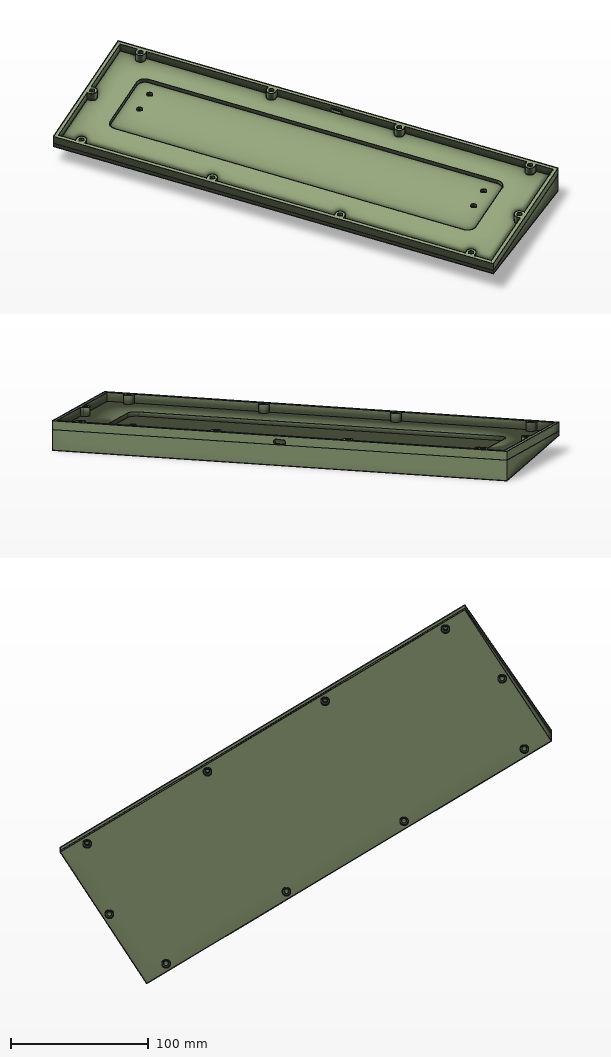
import cadquery as cq
import math

LENGTH = 349.6
WIDTH = 116.26
HEIGHT = 21.83
SLOPE_DEG = 6.0

FRAME_HEIGHT = 6.5
WALL = 2.8
BASE_HEIGHT = HEIGHT - FRAME_HEIGHT

BOSS_DIAMETER = 7.4
SCREW_HOLE_DIAMETER = 3.6
SCREW_HEAD_DIAMETER = 6.2
SCREW_HEAD_DEPTH = 1.5
SCREW_INSET = 5.1
OUTER_SCREW_X = 154.8
INNER_SCREW_X = 50.8

SLOT_LENGTH = 9.0
SLOT_HEIGHT = 3.6
SLOT_ABOVE_BASE = 2.1

POCKET_LENGTH = 290.3
POCKET_WIDTH = 60.0
POCKET_DEPTH = 3.2
POCKET_CORNER_RADIUS = 6.5
POCKET_X = -1.7
POCKET_Y = 4.75
MOUNT_HOLE_DIAMETER = 4.25
MOUNT_HOLE_DEPTH = 3.0
MOUNT_SPACING_X = 265.4
MOUNT_SPACING_Y = 18.0
MOUNT_Y = 14.4


def side_positions():
    """Screw axes along the two long sides."""
    y = WIDTH / 2 - SCREW_INSET
    xs = [-OUTER_SCREW_X, -INNER_SCREW_X, INNER_SCREW_X, OUTER_SCREW_X]
    return [(x, side * y) for x in xs for side in (-1, 1)]


def end_positions():
    """Screw axes at the middle of each short end."""
    x = LENGTH / 2 - SCREW_INSET
    return [(-x, 0), (x, 0)]


def screw_positions():
    return side_positions() + end_positions()


def underside_z(y):
    """Height of the sloping underside at a given Y."""
    return (WIDTH / 2 - y) * math.tan(math.radians(SLOPE_DEG))


def make_base():
    """Solid wedge with a pocket in its top, mounting holes and counterbored screw holes."""
    profile = [
        (-WIDTH / 2, BASE_HEIGHT),
        (-WIDTH / 2, underside_z(-WIDTH / 2)),
        (WIDTH / 2, underside_z(WIDTH / 2)),
        (WIDTH / 2, BASE_HEIGHT),
    ]
    base = cq.Workplane("YZ").polyline(profile).close().extrude(LENGTH / 2, both=True)

    pocket = (
        cq.Workplane("XY", origin=(POCKET_X, POCKET_Y, BASE_HEIGHT - POCKET_DEPTH))
        .rect(POCKET_LENGTH, POCKET_WIDTH)
        .extrude(POCKET_DEPTH)
        .edges("|Z")
        .fillet(POCKET_CORNER_RADIUS)
    )
    mounts = (
        cq.Workplane("XY", origin=(POCKET_X, MOUNT_Y, BASE_HEIGHT - POCKET_DEPTH - MOUNT_HOLE_DEPTH))
        .rarray(MOUNT_SPACING_X, MOUNT_SPACING_Y, 2, 2)
        .circle(MOUNT_HOLE_DIAMETER / 2)
        .extrude(MOUNT_HOLE_DEPTH)
    )
    screws = (
        cq.Workplane("XY")
        .pushPoints(screw_positions())
        .circle(SCREW_HOLE_DIAMETER / 2)
        .extrude(BASE_HEIGHT)
    )
    base = base.cut(pocket).cut(mounts).cut(screws)

    for x, y in screw_positions():
        head_height = underside_z(y) + SCREW_HEAD_DEPTH
        head = cq.Workplane("XY").center(x, y).circle(SCREW_HEAD_DIAMETER / 2).extrude(head_height)
        base = base.cut(head)
    return base


def make_frame():
    """Rectangular wall with a U-shaped boss at every screw and a cable slot through the back."""
    level = cq.Workplane("XY", origin=(0, 0, BASE_HEIGHT))
    wall = level.rect(LENGTH, WIDTH).rect(LENGTH - 2 * WALL, WIDTH - 2 * WALL).extrude(FRAME_HEIGHT)
    bosses = level.pushPoints(screw_positions()).circle(BOSS_DIAMETER / 2).extrude(FRAME_HEIGHT)
    side_webs = (
        level.pushPoints([(x, math.copysign(WIDTH - SCREW_INSET, y) / 2) for x, y in side_positions()])
        .rect(BOSS_DIAMETER, SCREW_INSET)
        .extrude(FRAME_HEIGHT)
    )
    end_webs = (
        level.pushPoints([(math.copysign(LENGTH - SCREW_INSET, x) / 2, y) for x, y in end_positions()])
        .rect(SCREW_INSET, BOSS_DIAMETER)
        .extrude(FRAME_HEIGHT)
    )
    holes = level.pushPoints(screw_positions()).circle(SCREW_HOLE_DIAMETER / 2).extrude(FRAME_HEIGHT)
    cable_slot = (
        cq.Workplane("XZ", origin=(0, WIDTH / 2, BASE_HEIGHT + SLOT_ABOVE_BASE))
        .slot2D(SLOT_LENGTH, SLOT_HEIGHT)
        .extrude(WALL)
    )
    return wall.union(bosses).union(side_webs).union(end_webs).cut(holes).cut(cable_slot)


base = make_base()
frame = make_frame()
result = cq.Compound.makeCompound([base.val(), frame.val()])